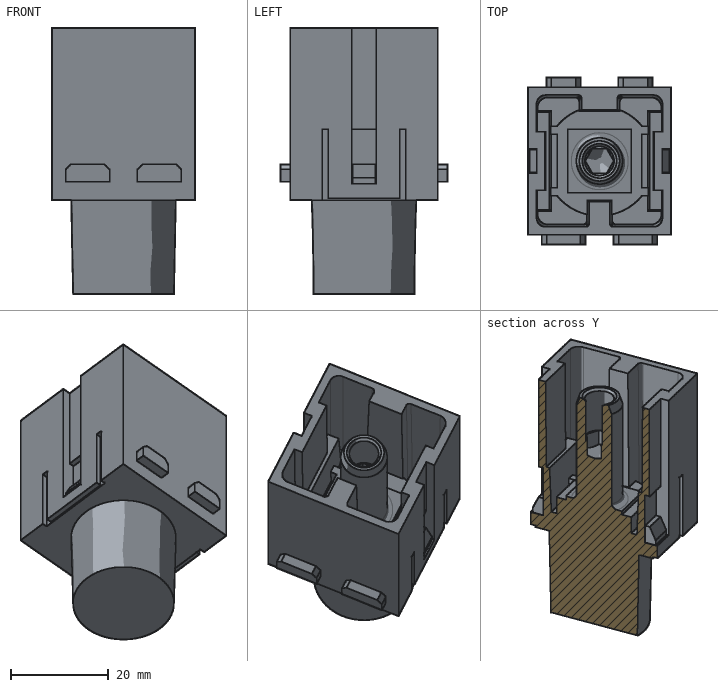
import cadquery as cq

BODY_X = 29.4
BODY_Y = 30.25
TOTAL_Y = 34.2
TOP_Z = 54.5
BODY_Z = 19.25

BARREL_TOP_DIA = 21.5
BARREL_BOTTOM_DIA = 20.7

FLOOR_Z = 24
CAVITY_TOP = (25.85, 27.05)
CAVITY_FLOOR = (25.3, 25.95)
CAVITY_CORNER_RADIUS = 1.95

BACK_KEY_TOP = (7.3, 10.5)
BACK_KEY_FLOOR = (8.4, 10.1)
FRONT_KEY_TOP = (4.25, 8.4)
FRONT_KEY_FLOOR = (5.25, 7.95)
KEY_ROOT_RADIUS = 0.7

RIB_WIDTH = 12
RIB_TOP_FACE_X = 11.15
RIB_FLOOR_FACE_X = 10.95
LEDGE_Z = 34.35
LEDGE_TOP_WIDTH = 19.95
LEDGE_TOP_FACE_X = 10.25
LEDGE_FLOOR_WIDTH = 20.5
LEDGE_FLOOR_FACE_X = 9.85

SEAT_Z = 27.8
SEAT_DIA = 22.5
SEAT_FLAT_X = 8.65
TAB_INNER_Y = 5.45
TAB_OUTER_Y = 7.1
PAD_SIDE = 13.0
PAD_Z = 28.6

PIN_TIP_Z = 52.85
PIN_TIP_DIA = 8.25
PIN_DIA = 9.5
PIN_FOOT_DIA = 11.65
PIN_CHAMFER_HEIGHT = 1.9
BORE_DIA = 6
BORE_MOUTH_DIA = 7.05
BORE_DEPTH = 9.8
HEX_CORNER_DIA = 5.9
HEX_DEPTH = 3.25
POINT_DEPTH = 1.65

CHANNEL_WIDTH = 5.05
CHANNEL_DEPTH = 1.8
POCKET_TOP_Z = 33.8
POCKET_BOTTOM_Z = 22.6
POCKET_DEPTH = 2.9
CATCH_WIDTH = 4.7
CATCH_TOP_Z = 26.6
CATCH_RAMP_END_Z = 23.75
CATCH_SETBACK = 0.45

FLAP_WIDTH = 14.55
SLIT_WIDTH = 1.3
SLIT_DEPTH = 1.1
SLIT_TOP_Z = POCKET_TOP_Z
FLAP_GAP = 0.4

LUG_SPACING = 14.7
FRONT_LUG_LENGTH = 9.0
BACK_LUG_LENGTH = 7.1
LUG_BOTTOM_Z = 22.95
LUG_TOP_Z = 26.55
LUG_CHAMFER = 1.05

PICK_MARGIN = 0.55


def block(x_range, y_range, z_range):
    """Axis-aligned box given by its limits along each axis."""
    lows, highs = zip(x_range, y_range, z_range)
    sizes = [high - low for low, high in zip(lows, highs)]
    return cq.Workplane("XY").box(*sizes, centered=False).translate(lows)


def tapered_block(lower_size, lower_center, lower_z, upper_size, upper_center, upper_z):
    """Box whose rectangular section changes linearly between two heights."""
    return (
        cq.Workplane("XY", origin=(*lower_center, lower_z))
        .rect(*lower_size)
        .workplane(offset=upper_z - lower_z, origin=(*upper_center, lower_z))
        .rect(*upper_size)
        .loft(ruled=True)
    )


def on_both_x_sides(shape):
    """The shape together with its mirror image across the YZ plane."""
    return shape.union(shape.mirror("YZ"))


def key_tongue(floor, top, side):
    """Keying tongue reaching from a Y wall (side is +1 or -1) to its drafted face."""
    outer = BODY_Y / 2
    sections = []
    for width, face in (floor, top):
        sections.append(((width, outer - face), (0, side * (outer + face) / 2)))
    return tapered_block(*sections[0], FLOOR_Z, *sections[1], TOP_Z)


def wall_pad(floor_width, floor_face, top_width, top_face, top_z):
    """Drafted thickening of the -X wall from the cavity floor up to top_z."""
    outer = BODY_X / 2
    return tapered_block(
        (outer - floor_face, floor_width), (-(outer + floor_face) / 2, 0), FLOOR_Z,
        (outer - top_face, top_width), (-(outer + top_face) / 2, 0), top_z,
    )


def make_cavity():
    """Volume removed from the block: drafted pocket less the keys, ribs and ledges."""
    center = (0, 0)
    cavity = tapered_block(CAVITY_FLOOR, center, FLOOR_Z, CAVITY_TOP, center, TOP_Z)
    upright_edges = cq.selectors.BoxSelector(
        (-BODY_X, -BODY_Y, FLOOR_Z + PICK_MARGIN), (BODY_X, BODY_Y, TOP_Z - PICK_MARGIN)
    )
    cavity = cavity.edges(upright_edges).fillet(CAVITY_CORNER_RADIUS)

    for floor, top, side in ((BACK_KEY_FLOOR, BACK_KEY_TOP, 1), (FRONT_KEY_FLOOR, FRONT_KEY_TOP, -1)):
        cavity = cavity.cut(key_tongue(floor, top, side))
        mean_cavity_length = (CAVITY_TOP[1] + CAVITY_FLOOR[1]) / 2
        wall_y = side * mean_cavity_length / 2
        roots = cq.selectors.BoxSelector(
            (-floor[0], wall_y - PICK_MARGIN, FLOOR_Z + PICK_MARGIN),
            (floor[0], wall_y + PICK_MARGIN, TOP_Z - PICK_MARGIN),
        )
        cavity = cavity.edges(roots).fillet(KEY_ROOT_RADIUS)

    rib = wall_pad(RIB_WIDTH, RIB_FLOOR_FACE_X, RIB_WIDTH, RIB_TOP_FACE_X, TOP_Z)
    ledge = wall_pad(LEDGE_FLOOR_WIDTH, LEDGE_FLOOR_FACE_X, LEDGE_TOP_WIDTH, LEDGE_TOP_FACE_X, LEDGE_Z)
    return cavity.cut(on_both_x_sides(rib)).cut(on_both_x_sides(ledge))


def make_seat():
    """Raised contact seat with tabs reaching into the X walls and a square pad on top."""
    height = SEAT_Z - FLOOR_Z
    base = cq.Workplane("XY", origin=(0, 0, FLOOR_Z))
    disc = base.circle(SEAT_DIA / 2).extrude(height)
    flats = base.rect(2 * SEAT_FLAT_X, SEAT_DIA).extrude(height)
    seat = disc.intersect(flats)
    for side in (1, -1):
        y_range = sorted((side * TAB_INNER_Y, side * TAB_OUTER_Y))
        seat = seat.union(block((-RIB_FLOOR_FACE_X, RIB_FLOOR_FACE_X), y_range, (FLOOR_Z, SEAT_Z)))
    pad = base.rect(PAD_SIDE, PAD_SIDE).extrude(PAD_Z - FLOOR_Z)
    return seat.union(pad)


def make_pin():
    """Pin turned about Z, with a concave fillet at the foot and a hexagon socket in the bore."""
    shoulder_z = PIN_TIP_Z - PIN_CHAMFER_HEIGHT
    foot_fillet = (PIN_FOOT_DIA - PIN_DIA) / 2
    bore_end_z = PIN_TIP_Z - BORE_DEPTH
    mouth_depth = (BORE_MOUTH_DIA - BORE_DIA) / 2
    pin = (
        cq.Workplane("XZ")
        .moveTo(0, FLOOR_Z)
        .lineTo(PIN_FOOT_DIA / 2, FLOOR_Z)
        .lineTo(PIN_FOOT_DIA / 2, PAD_Z)
        .radiusArc((PIN_DIA / 2, PAD_Z + foot_fillet), foot_fillet)
        .lineTo(PIN_DIA / 2, shoulder_z)
        .lineTo(PIN_TIP_DIA / 2, PIN_TIP_Z)
        .lineTo(BORE_MOUTH_DIA / 2, PIN_TIP_Z)
        .lineTo(BORE_DIA / 2, PIN_TIP_Z - mouth_depth)
        .lineTo(BORE_DIA / 2, bore_end_z)
        .lineTo(0, bore_end_z)
        .close()
        .revolve(360, (0, 0), (0, 1))
    )
    hexagon = cq.Workplane("XY", origin=(0, 0, bore_end_z)).polygon(6, HEX_CORNER_DIA)
    point_top_z = bore_end_z - HEX_DEPTH
    drill = (
        cq.Workplane("XZ")
        .moveTo(0, bore_end_z)
        .lineTo(HEX_CORNER_DIA / 2, bore_end_z)
        .lineTo(HEX_CORNER_DIA / 2, point_top_z)
        .lineTo(0, point_top_z - POINT_DEPTH)
        .close()
        .revolve(360, (0, 0), (0, 1))
    )
    socket = hexagon.extrude(-HEX_DEPTH - POINT_DEPTH).intersect(drill)
    return pin.cut(socket)


def make_side_cuts():
    """Material removed from the -X wall: channel, catch pocket and flap outline."""
    wall_x = -BODY_X / 2
    half_channel = CHANNEL_WIDTH / 2
    channel_y = (-half_channel, half_channel)
    cuts = block((wall_x, wall_x + CHANNEL_DEPTH), channel_y, (POCKET_TOP_Z, TOP_Z))
    pocket = block((wall_x, wall_x + POCKET_DEPTH), channel_y, (POCKET_BOTTOM_Z, POCKET_TOP_Z))
    catch = (
        cq.Workplane("XZ")
        .moveTo(wall_x + POCKET_DEPTH, POCKET_BOTTOM_Z)
        .lineTo(wall_x + CATCH_SETBACK, POCKET_BOTTOM_Z)
        .lineTo(wall_x + CATCH_SETBACK, CATCH_RAMP_END_Z)
        .lineTo(wall_x + CHANNEL_DEPTH, CATCH_TOP_Z)
        .lineTo(wall_x + POCKET_DEPTH, CATCH_TOP_Z)
        .close()
        .extrude(CATCH_WIDTH / 2, both=True)
    )
    cuts = cuts.union(pocket.cut(catch))

    slit_x = (wall_x, wall_x + SLIT_DEPTH)
    half_flap = FLAP_WIDTH / 2
    half_outline = half_flap + SLIT_WIDTH
    outline = block(slit_x, (-half_outline, half_outline), (BODY_Z, SLIT_TOP_Z))
    flap = block(slit_x, (-half_flap, half_flap), (BODY_Z + FLAP_GAP, SLIT_TOP_Z))
    return cuts.union(outline.cut(flap))


def make_lug(length, center_x, side):
    """Coding lug on a Y face (side is +1 or -1) with its two upper corners chamfered."""
    y_range = sorted((0, side * (TOTAL_Y - BODY_Y) / 2))
    lug = block((-length / 2, length / 2), y_range, (LUG_BOTTOM_Z, LUG_TOP_Z))
    lug = lug.faces(">Z").edges("|Y").chamfer(LUG_CHAMFER)
    return lug.translate((center_x, side * BODY_Y / 2, 0))


body = block((-BODY_X / 2, BODY_X / 2), (-BODY_Y / 2, BODY_Y / 2), (BODY_Z, TOP_Z))
barrel = (
    cq.Workplane("XY")
    .circle(BARREL_BOTTOM_DIA / 2)
    .workplane(offset=BODY_Z)
    .circle(BARREL_TOP_DIA / 2)
    .loft(ruled=True)
)

result = body.union(barrel).cut(make_cavity())
result = result.union(make_seat()).union(make_pin())
result = result.cut(on_both_x_sides(make_side_cuts()))
for lug_length, lug_side in ((FRONT_LUG_LENGTH, -1), (BACK_LUG_LENGTH, 1)):
    for lug_x in (-LUG_SPACING / 2, LUG_SPACING / 2):
        result = result.union(make_lug(lug_length, lug_x, lug_side))